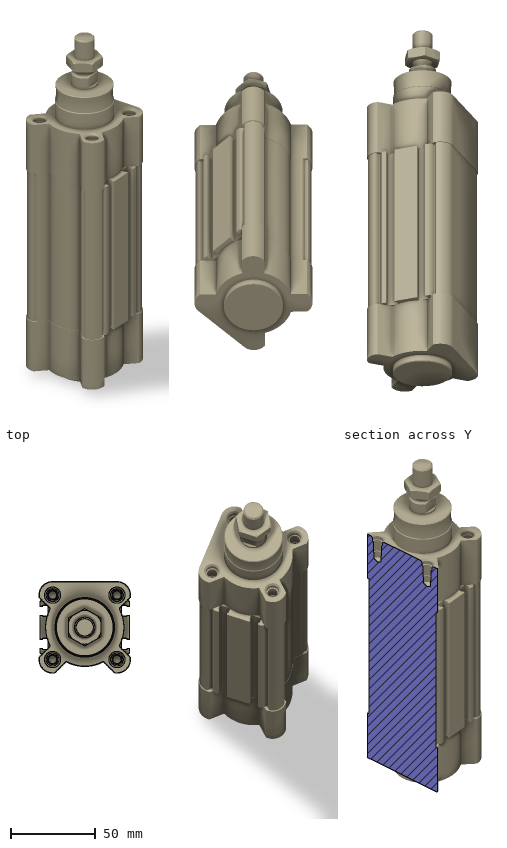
import cadquery as cq
import math

rear_collar_top = 4.0
rear_cap_top = 37.0
barrel_top = 136.0
front_cap_top = 168.9
lower_collar_top = 179.7
upper_collar_top = 190.5
flats_bottom = 191.7
rod_shoulder = 198.4
thread_bottom = 199.7
nut_bottom = 202.8
nut_thickness = 6.0
rod_bottom = barrel_top
overall_height = 222.0

cap_core_radius = 23.0
barrel_core_radius = 22.9
junction_fillet = 0.5
leg_spacing = 38.0
cap_leg_width = 13.0
barrel_leg_width = 12.9
cap_width = 54.0
barrel_width = 52.8

slot_center = 9.8
slot_mouth_width = 5.3
slot_inner_width = 6.5
slot_lip_depth = 1.5
slot_floor = 21.7
side_notch_start = 15.0
side_notch_floor_start = 17.0
side_notch_floor_end = 17.8
side_notch_end = 19.3
side_notch_depth = 2.2
front_notch_corner = 17.8
front_notch_end = 19.0
front_notch_depth = 1.3

collar_diameter = 35.0
collar_chamfer = 0.5
upper_collar_diameter = 34.5
waist_depth = 0.5
upper_collar_chamfer = 0.5

hole_mouth_diameter = 9.5
hole_entry_diameter = 7.5
hole_entry_depth = 3.3
tapped_hole_diameter = 6.0
tapped_hole_depth = 11.0
drill_diameter = 4.9
drill_depth = 15.5
drill_tip_angle = 118.0

rod_diameter = 16.0
rod_flats_width = 12.9
rod_chamfer = 0.5
thread_diameter = 12.0
neck_diameter = 10.2
thread_chamfer = 0.9
thread_runout = 2.2
nut_sides = 6
nut_width = 19.0
nut_bevel_diameter = 20.0
nut_bevel_angle = 30.0

position_tolerance = 0.02
half_spacing = leg_spacing / 2
quadrants = [(1, 1), (1, -1), (-1, 1), (-1, -1)]


def prism(points, bottom, top):
    return cq.Workplane("XY").workplane(offset=bottom).polyline(points).close().extrude(top - bottom)


def disc(diameter, bottom, top):
    return cq.Workplane("XY").workplane(offset=bottom).circle(diameter / 2).extrude(top - bottom)


def leg(width, leg_width, side_x, side_y, bottom, top):
    """Diagonal leg with a rounded corner, reaching from the axis to one screw position."""
    half = width / 2
    radius = half - half_spacing
    slant = leg_width / math.sqrt(2)
    bend = half_spacing + radius * math.sqrt(0.5)
    x, y = side_x, side_y
    return (
        cq.Workplane("XY")
        .workplane(offset=bottom)
        .moveTo(0, 0)
        .lineTo(slant * x, 0)
        .lineTo(half * x, (half - slant) * y)
        .lineTo(half * x, half_spacing * y)
        .threePointArc((bend * x, bend * y), (half_spacing * x, half * y))
        .lineTo((half - slant) * x, half * y)
        .lineTo(0, slant * y)
        .close()
        .extrude(top - bottom)
    )


def is_junction(edge, core_radius):
    """True for the inner corners where a leg runs out of the round core."""
    middle = edge.Center()
    return abs(math.hypot(middle.x, middle.y) - core_radius) < position_tolerance


def legged_block(width, core_radius, leg_width, bottom, top):
    """Round core with four legs and a flat back wall."""
    block = disc(2 * core_radius, bottom, top)
    for side_x, side_y in quadrants:
        block = block.union(leg(width, leg_width, side_x, side_y, bottom, top))
    back = cq.Workplane("XY").box(leg_spacing, width / 2, top - bottom, centered=(True, False, False))
    block = block.union(back.translate((0, 0, bottom)))
    junctions = [edge for edge in block.edges("|Z").vals() if is_junction(edge, core_radius)]
    return block.newObject(junctions).fillet(junction_fillet)


def slot_points(side_x, side_y):
    """T-slot open on the +X or -X side of the barrel."""
    outer = cap_width / 2
    lip = barrel_width / 2 - slot_lip_depth
    mouth = slot_mouth_width / 2
    inner = slot_inner_width / 2
    profile = [
        (outer, -mouth),
        (lip, -mouth),
        (lip, -inner),
        (slot_floor, -inner),
        (slot_floor, inner),
        (lip, inner),
        (lip, mouth),
        (outer, mouth),
    ]
    return [(side_x * x, side_y * (slot_center + y)) for x, y in profile]


def side_notch_points(side_x, side_y):
    """Tapered notch between a side rail and the leg next to it."""
    outer = barrel_width / 2
    floor = outer - side_notch_depth
    profile = [
        (outer, side_notch_start),
        (floor, side_notch_floor_start),
        (floor, side_notch_floor_end),
        (outer, side_notch_end),
    ]
    return [(side_x * x, side_y * y) for x, y in profile]


def front_notch_points(side_x):
    """Shallow notch in the front face of a leg, open toward the axis."""
    outer = -barrel_width / 2
    floor = outer + front_notch_depth
    profile = [
        (0, outer),
        (0, floor),
        (front_notch_corner, floor),
        (front_notch_end, outer),
    ]
    return [(side_x * x, y) for x, y in profile]


def build_barrel():
    height = barrel_top - rear_cap_top
    walls = cq.Workplane("XY").box(barrel_width, leg_spacing, height, centered=(True, True, False))
    body = legged_block(barrel_width, barrel_core_radius, barrel_leg_width, rear_cap_top, barrel_top)
    body = body.union(walls.translate((0, 0, rear_cap_top)))
    for side_x, side_y in quadrants:
        body = body.cut(prism(slot_points(side_x, side_y), rear_cap_top, barrel_top))
        body = body.cut(prism(side_notch_points(side_x, side_y), rear_cap_top, barrel_top))
    for side_x in (1, -1):
        body = body.cut(prism(front_notch_points(side_x), rear_cap_top, barrel_top))
    return body


def build_rear_cap():
    cap = legged_block(cap_width, cap_core_radius, cap_leg_width, rear_collar_top, rear_cap_top)
    collar = disc(collar_diameter, 0, rear_collar_top)
    return cap.union(collar.faces("<Z").edges().chamfer(collar_chamfer))


def upper_collar():
    """Collar with a slightly hollow flank and a chamfered top edge."""
    radius = upper_collar_diameter / 2
    flank_top = upper_collar_top - upper_collar_chamfer
    waist_height = (lower_collar_top + flank_top) / 2
    return (
        cq.Workplane("XZ")
        .moveTo(0, lower_collar_top)
        .lineTo(radius, lower_collar_top)
        .threePointArc((radius - waist_depth, waist_height), (radius, flank_top))
        .lineTo(radius - upper_collar_chamfer, upper_collar_top)
        .lineTo(0, upper_collar_top)
        .close()
        .revolve(360, (0, 0, 0), (0, 1, 0))
    )


def build_front_cap():
    cap = legged_block(cap_width, cap_core_radius, cap_leg_width, barrel_top, front_cap_top)
    lower_collar = disc(collar_diameter, front_cap_top, lower_collar_top)
    lower_collar = lower_collar.faces(">Z").edges().chamfer(collar_chamfer)
    return cap.union(lower_collar).union(upper_collar())


def screw_hole():
    """Stepped hole with a conical drill tip, its mouth at the origin."""
    mouth = hole_mouth_diameter / 2
    entry = hole_entry_diameter / 2
    thread = tapped_hole_diameter / 2
    drill = drill_diameter / 2
    tip = drill / math.tan(math.radians(drill_tip_angle / 2))
    return (
        cq.Workplane("XZ")
        .polyline([
            (0, 0),
            (mouth, 0),
            (entry, entry - mouth),
            (entry, -hole_entry_depth),
            (thread, -hole_entry_depth),
            (thread, -tapped_hole_depth),
            (drill, -tapped_hole_depth),
            (drill, -drill_depth),
            (0, -drill_depth - tip),
        ])
        .close()
        .revolve(360, (0, 0, 0), (0, 1, 0))
    )


def build_housing():
    """Caps and barrel in one piece, with the screw holes and a blind bore for the rod."""
    housing = build_rear_cap().union(build_barrel()).union(build_front_cap())
    for side_x, side_y in quadrants:
        place = (side_x * half_spacing, side_y * half_spacing, front_cap_top)
        housing = housing.cut(screw_hole().translate(place))
    return housing.cut(disc(rod_diameter, rod_bottom, upper_collar_top))


def build_rod():
    """Piston rod with wrench flats, a neck and a threaded end."""
    rod = disc(rod_diameter, rod_bottom, rod_shoulder).faces(">Z").edges().chamfer(rod_chamfer)
    flats = cq.Workplane("XY").box(
        rod_flats_width, rod_diameter, rod_shoulder - flats_bottom, centered=(True, True, False)
    )
    flat_zone = disc(2 * rod_diameter, flats_bottom, rod_shoulder)
    rod = rod.cut(flat_zone.cut(flats.translate((0, 0, flats_bottom))))
    neck = disc(neck_diameter, rod_shoulder, thread_bottom)
    thread = disc(thread_diameter, thread_bottom, overall_height)
    thread = thread.faces(">Z").edges().chamfer(thread_chamfer)
    runout_depth = (thread_diameter - neck_diameter) / 2
    thread = thread.faces("<Z").edges().chamfer(thread_runout, runout_depth)
    return rod.union(neck).union(thread)


def build_nut():
    """Hexagon nut with flats facing +X and -X and its corners beveled at both ends."""
    corner_diameter = nut_width / math.cos(math.radians(180 / nut_sides))
    nut = (
        cq.Workplane("XY")
        .workplane(offset=nut_bottom)
        .transformed(rotate=(0, 0, 90))
        .polygon(nut_sides, corner_diameter)
        .extrude(nut_thickness)
    )
    bevel_width = (corner_diameter - nut_bevel_diameter) / 2
    bevel_height = bevel_width * math.tan(math.radians(nut_bevel_angle))
    envelope = (
        disc(corner_diameter, nut_bottom, nut_bottom + nut_thickness)
        .edges()
        .chamfer(bevel_height, bevel_width)
    )
    return nut.intersect(envelope).cut(disc(thread_diameter, nut_bottom, nut_bottom + nut_thickness))


housing = build_housing()
rod = build_rod()
nut = build_nut()

result = cq.Compound.makeCompound([body.solids().val() for body in (housing, rod, nut)])